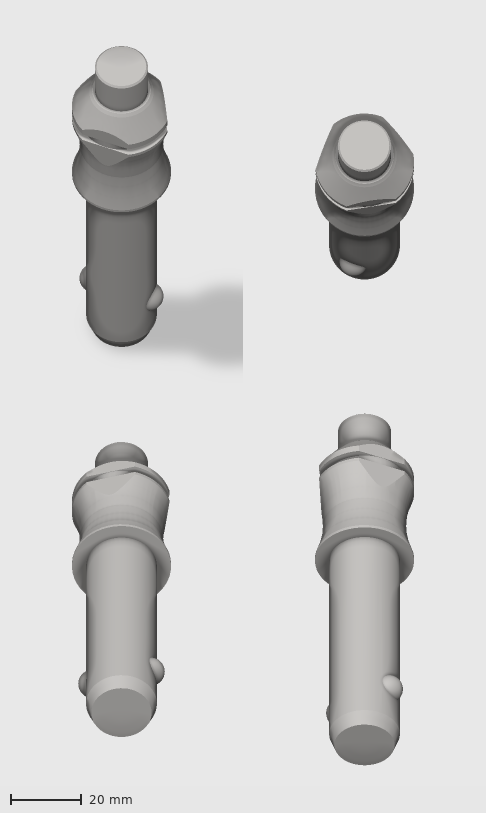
import cadquery as cq
import math

OVERALL_LENGTH = 120.56

shank_length = 70.56
shank_radius = 10.0
tip_radius = 8.5
tip_length = 4.2

ball_radius = 4.0
ball_reach = 12.5
ball_center_x = ball_reach - ball_radius
ball_height_above_tip = 16.8
ball_center_z = ball_height_above_tip - shank_length

head_radius = 14.0
waist_radius = 11.75
flange_thickness = 0.9
waist_z = 13.4
grip_lip_z = 25.7

groove_bottom_z = 26.8
groove_top_z = 29.4
groove_radius = 12.0
cone_base_z = 31.5
cone_top_radius = 9.1
cone_top_z = 38.0
rim_radius = 8.3
rim_z = 38.8

button_radius = 7.5
button_chamfer = 0.5
button_top_z = OVERALL_LENGTH - shank_length

flat_count = 3
flat_distance = 12.1
flat_angle = 360.0 / flat_count


def waist_arc_point(end_z):
    """Mid-angle point of the arc that is vertical at the waist and ends on the head radius."""
    height = end_z - waist_z
    rise = head_radius - waist_radius
    arc_radius = (height**2 + rise**2) / (2 * rise)
    half_angle = math.asin(height / arc_radius) / 2
    radius = waist_radius + arc_radius * (1 - math.cos(half_angle))
    return (radius, waist_z + arc_radius * math.sin(half_angle))


def make_head():
    profile = (
        cq.Workplane("XZ")
        .moveTo(0, 0)
        .lineTo(head_radius, 0)
        .lineTo(head_radius, flange_thickness)
        .threePointArc(waist_arc_point(flange_thickness), (waist_radius, waist_z))
        .threePointArc(waist_arc_point(grip_lip_z), (head_radius, grip_lip_z))
        .lineTo(head_radius, groove_bottom_z)
        .lineTo(groove_radius, groove_bottom_z)
        .lineTo(groove_radius, groove_top_z)
        .lineTo(head_radius, groove_top_z)
        .lineTo(head_radius, cone_base_z)
        .lineTo(cone_top_radius, cone_top_z)
        .lineTo(rim_radius, rim_z)
        .lineTo(0, rim_z)
        .close()
    )
    return profile.revolve(360, (0, 0, 0), (0, 1, 0))


def cut_flats(body):
    """Shave three planes off the head, the first one facing -Y."""
    cut_width = 2 * head_radius
    cutter = (
        cq.Workplane("XY")
        .workplane(offset=waist_z)
        .center(0, -flat_distance - head_radius / 2)
        .rect(cut_width, head_radius)
        .extrude(rim_z - waist_z)
    )
    for index in range(flat_count):
        body = body.cut(cutter.rotate((0, 0, 0), (0, 0, 1), index * flat_angle))
    return body


def make_shank():
    profile = (
        cq.Workplane("XZ")
        .moveTo(0, -shank_length)
        .lineTo(tip_radius, -shank_length)
        .lineTo(shank_radius, tip_length - shank_length)
        .lineTo(shank_radius, 0)
        .lineTo(0, 0)
        .close()
    )
    return profile.revolve(360, (0, 0, 0), (0, 1, 0))


def make_button():
    return (
        cq.Workplane("XY")
        .circle(button_radius)
        .extrude(button_top_z)
        .faces(">Z")
        .chamfer(button_chamfer)
    )


def add_balls(body):
    for side in (-1, 1):
        ball = cq.Workplane("XY").sphere(ball_radius)
        body = body.union(ball.translate((side * ball_center_x, 0, ball_center_z)))
    return body


head = cut_flats(make_head())
pin = head.union(make_shank()).union(make_button())
result = add_balls(pin)